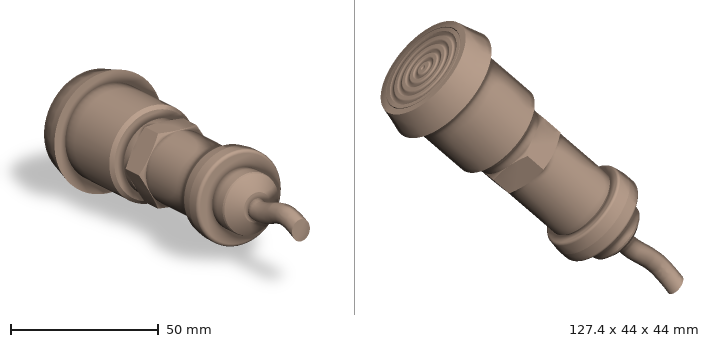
import cadquery as cq
import math


CONE_END_X = 10.2
CONNECTION_END_X = 38.2
WASHER_START_X = 40.0
HEX_START_X = 43.0
HEX_END_X = 53.1
TUBE_END_X = 79.5
CAP_START_X = 80.4
CAP_TAPER_END_X = 85.2
CAP_END_X = 90.2
DOME_START_X = 97.2
DOME_END_X = 100.6
CABLE_END_X = 127.4

CONE_FRONT_RADIUS = 19.4
CONE_RADIUS = 21.98
CONNECTION_RADIUS = 17.52
CONNECTION_CHAMFER = 1.3

RECESS_RADIUS = 17.0
DIAPHRAGM_RADIUS = 16.7
DIAPHRAGM_THICKNESS = 1.9
GROOVE_PITCH = 3.6
GROOVE_HALF_WIDTH = 0.9
GROOVE_DEPTH = 0.5
GROOVE_COUNT = 4
GROOVE_RIM_FILLET = 0.5

NECK_RADIUS = 9.0
NECK_FILLET = 1.0
WASHER_RADIUS = 13.6
HEX_ACROSS_FLATS = 27.0
HEX_CORNER_RADIUS = HEX_ACROSS_FLATS / 2 / math.cos(math.pi / 6)
HEX_CHAMFER_LENGTH = 1.0
TUBE_RADIUS = 13.4
RELIEF_RADIUS = 12.7

CAP_FRONT_RADIUS = 16.4
CAP_RADIUS = 17.2
CAP_FRONT_FILLET = 0.9
CAP_REAR_FILLET = 1.1

GLAND_RADIUS = 11.2
GLAND_EDGE_LENGTH = 0.8
DOME_START_RADIUS = 11.0
DOME_END_RADIUS = 5.4
DOME_BULGE = 0.32

CABLE_RADIUS = 3.63
CABLE_OVERRUN = 1.9
CABLE_POINTS = [
    (DOME_END_X - CABLE_OVERRUN, 0.1),
    (103.0, -0.9),
    (109.6, 0.5),
    (117.1, 2.4),
    (123.0, 1.5),
    (CABLE_END_X, -0.3),
    (CABLE_END_X + CABLE_OVERRUN, -1.1),
]


def revolve_about_x(profile):
    """Turn a closed profile of (x, radius) points about the X axis."""
    return profile.revolve(360, (0, 0, 0), (1, 0, 0))


def cylinder_along_x(start_x, end_x, radius):
    return cq.Workplane("YZ", origin=(start_x, 0, 0)).circle(radius).extrude(end_x - start_x)


def make_connection():
    """Conical front collar with a plain sleeve behind it and a recess for the diaphragm."""
    collar = revolve_about_x(
        cq.Workplane("XY").polyline(
            [(0, 0), (0, CONE_FRONT_RADIUS), (CONE_END_X, CONE_RADIUS), (CONE_END_X, 0)]
        ).close()
    )
    sleeve = cylinder_along_x(CONE_END_X, CONNECTION_END_X, CONNECTION_RADIUS)
    sleeve = sleeve.faces(">X").edges().chamfer(CONNECTION_CHAMFER)
    recess = cylinder_along_x(0, DIAPHRAGM_THICKNESS, RECESS_RADIUS)
    return collar.union(sleeve).cut(recess)


def groove_cutter(centre_radius):
    """Ring with an arc-shaped section that cuts one concentric corrugation."""
    return revolve_about_x(
        cq.Workplane("XY")
        .moveTo(0, centre_radius - GROOVE_HALF_WIDTH)
        .threePointArc((GROOVE_DEPTH, centre_radius), (0, centre_radius + GROOVE_HALF_WIDTH))
        .close()
    )


def dimple_cutter():
    """Spherical cap, as wide and as deep as a groove, for the central dimple."""
    sphere_radius = (GROOVE_HALF_WIDTH**2 + GROOVE_DEPTH**2) / (2 * GROOVE_DEPTH)
    sphere_centre_x = GROOVE_DEPTH - sphere_radius
    half_angle = math.asin(GROOVE_HALF_WIDTH / sphere_radius) / 2
    arc_middle = (
        sphere_centre_x + sphere_radius * math.cos(half_angle),
        sphere_radius * math.sin(half_angle),
    )
    return revolve_about_x(
        cq.Workplane("XY")
        .lineTo(GROOVE_DEPTH, 0)
        .threePointArc(arc_middle, (0, GROOVE_HALF_WIDTH))
        .close()
    )


def make_diaphragm():
    """Flush disc with concentric grooves around a central dimple."""
    disc = cylinder_along_x(0, DIAPHRAGM_THICKNESS, DIAPHRAGM_RADIUS)
    for index in range(1, GROOVE_COUNT + 1):
        disc = disc.cut(groove_cutter(index * GROOVE_PITCH))
    last_groove_radius = GROOVE_COUNT * GROOVE_PITCH
    rounded_rims = disc.faces("<X").edges().filter(lambda rim: rim.radius() < last_groove_radius)
    disc = rounded_rims.fillet(GROOVE_RIM_FILLET)
    return disc.cut(dimple_cutter())


def make_sensor_body():
    """Neck, washer, chamfered hexagon and tube, ending in a relief at the cap."""
    washer = cylinder_along_x(WASHER_START_X, HEX_START_X, WASHER_RADIUS)
    fillet_start_x = WASHER_START_X - NECK_FILLET
    fillet_middle = (
        WASHER_START_X - NECK_FILLET * (1 - math.sin(math.pi / 4)),
        NECK_RADIUS + NECK_FILLET * (1 - math.cos(math.pi / 4)),
    )
    neck = revolve_about_x(
        cq.Workplane("XY")
        .moveTo(CONNECTION_END_X, 0)
        .lineTo(CONNECTION_END_X, NECK_RADIUS)
        .lineTo(fillet_start_x, NECK_RADIUS)
        .threePointArc(fillet_middle, (WASHER_START_X, NECK_RADIUS + NECK_FILLET))
        .lineTo(WASHER_START_X, 0)
        .close()
    )
    tube = cylinder_along_x(HEX_END_X, TUBE_END_X, TUBE_RADIUS)
    relief = cylinder_along_x(TUBE_END_X, CAP_START_X, RELIEF_RADIUS)
    return neck.union(washer).union(make_hexagon()).union(tube).union(relief)


def make_hexagon():
    """Hexagon with flats facing up and down and a turned chamfer on both ends."""
    hexagon = (
        cq.Workplane("YZ", origin=(HEX_START_X, 0, 0))
        .polygon(6, 2 * HEX_CORNER_RADIUS)
        .extrude(HEX_END_X - HEX_START_X)
    )
    turned_limit = revolve_about_x(
        cq.Workplane("XY").polyline(
            [
                (HEX_START_X, 0),
                (HEX_START_X, TUBE_RADIUS),
                (HEX_START_X + HEX_CHAMFER_LENGTH, HEX_CORNER_RADIUS),
                (HEX_END_X - HEX_CHAMFER_LENGTH, HEX_CORNER_RADIUS),
                (HEX_END_X, TUBE_RADIUS),
                (HEX_END_X, 0),
            ]
        ).close()
    )
    return hexagon.intersect(turned_limit)


def make_cap():
    """Rounded ring that widens slightly from its front edge to a straight band."""
    cap = revolve_about_x(
        cq.Workplane("XY").polyline(
            [
                (CAP_START_X, 0),
                (CAP_START_X, CAP_FRONT_RADIUS),
                (CAP_TAPER_END_X, CAP_RADIUS),
                (CAP_END_X, CAP_RADIUS),
                (CAP_END_X, 0),
            ]
        ).close()
    )
    cap = cap.faces("<X").edges().fillet(CAP_FRONT_FILLET)
    return cap.faces(">X").edges().fillet(CAP_REAR_FILLET)


def make_gland():
    """Short cylinder with a bevelled edge and a domed end for the cable."""
    dome_middle = (
        (DOME_START_X + DOME_END_X) / 2 + DOME_BULGE,
        (DOME_START_RADIUS + DOME_END_RADIUS) / 2 + DOME_BULGE / 2,
    )
    return revolve_about_x(
        cq.Workplane("XY")
        .moveTo(CAP_END_X, 0)
        .lineTo(CAP_END_X, GLAND_RADIUS)
        .lineTo(DOME_START_X - GLAND_EDGE_LENGTH, GLAND_RADIUS)
        .lineTo(DOME_START_X, DOME_START_RADIUS)
        .threePointArc(dome_middle, (DOME_END_X, DOME_END_RADIUS))
        .lineTo(DOME_END_X, 0)
        .close()
    )


def make_cable():
    """Round cable swept along its wavy centre line and cut square to X at both ends."""
    path = cq.Workplane("XZ").spline(CABLE_POINTS)
    start_x, start_z = CABLE_POINTS[0]
    direction = path.val().tangentAt(0)
    section_plane = cq.Plane(origin=(start_x, 0, start_z), xDir=(0, 1, 0), normal=direction.toTuple())
    cable = cq.Workplane(section_plane).circle(CABLE_RADIUS).sweep(path)
    trim_radius = 3 * CABLE_RADIUS
    return cable.intersect(cylinder_along_x(DOME_END_X, CABLE_END_X, trim_radius))


connection = make_connection()
diaphragm = make_diaphragm()
sensor_body = make_sensor_body()
cap = make_cap()
gland = make_gland()
cable = make_cable()

bodies = [connection, diaphragm, sensor_body, cap, gland, cable]

result = cq.Compound.makeCompound([body.solids().val() for body in bodies])